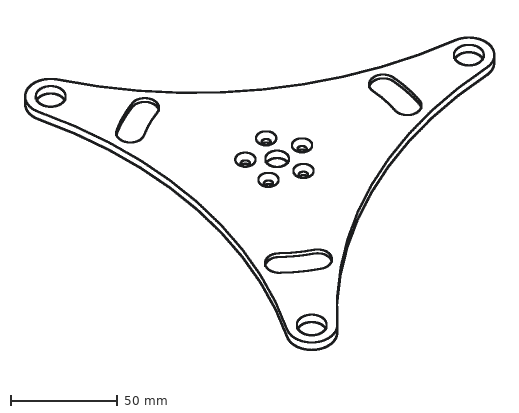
import cadquery as cq
import math

thickness = 5.0
lug_distance = 115.0
lug_radius = 12.0
lug_hole_diameter = 14.0
lug_angles = [90, 210, 330]
waist_distance = 48.0

pocket_distance = 71.5
pocket_width = 13.4
pocket_length = 31.7
pocket_depth = 2.5

center_hole_diameter = 11.2
screw_count = 5
screw_circle_radius = 15.0
screw_diameter = 4.5
countersink_diameter = 9.5
countersink_angle = 90

half_lug_span = lug_distance * math.sin(math.radians(60))
lug_drop = lug_distance * math.cos(math.radians(60))
touch_offset = waist_distance - lug_radius
side_center_distance = (half_lug_span**2 + lug_drop**2 - touch_offset**2) / (2 * (lug_drop - touch_offset))
side_radius = side_center_distance - waist_distance
touch_angle = math.degrees(math.asin(half_lug_span / (side_radius + lug_radius)))


def polar(radius, angle):
    """Point at a distance and angle in degrees from the plate centre."""
    turn = math.radians(angle)
    return (radius * math.cos(turn), radius * math.sin(turn))


def plate():
    """Three rounded lugs joined by tangent concave sides."""
    side_half_chord = side_radius * math.sin(math.radians(touch_angle))
    side_end_distance = side_center_distance - side_radius * math.cos(math.radians(touch_angle))
    end_radius = math.hypot(side_half_chord, side_end_distance)
    end_turn = math.degrees(math.atan2(side_half_chord, side_end_distance))

    outline = cq.Workplane("XY").moveTo(*polar(end_radius, lug_angles[0] - 60 + end_turn))
    for angle in lug_angles:
        next_side = angle + 60
        outline = outline.threePointArc(
            polar(lug_distance + lug_radius, angle), polar(end_radius, next_side - end_turn)
        )
        outline = outline.threePointArc(
            polar(waist_distance, next_side), polar(end_radius, next_side + end_turn)
        )
    return outline.close().extrude(thickness)


def pocket(angle):
    """Round-ended curved cutter centred on one lug direction."""
    end_radius = pocket_width / 2
    half_turn = math.degrees(math.asin((pocket_length / 2 - end_radius) / pocket_distance))
    inner = pocket_distance - end_radius
    outer = pocket_distance + end_radius
    start = angle - half_turn
    end = angle + half_turn
    tip_turn = math.degrees(math.atan(end_radius / pocket_distance))
    tip_distance = math.hypot(pocket_distance, end_radius)
    return (
        cq.Workplane("XY", origin=(0, 0, thickness - pocket_depth))
        .moveTo(*polar(outer, start))
        .threePointArc(polar(outer, angle), polar(outer, end))
        .threePointArc(polar(tip_distance, end + tip_turn), polar(inner, end))
        .threePointArc(polar(inner, angle), polar(inner, start))
        .threePointArc(polar(tip_distance, start - tip_turn), polar(outer, start))
        .close()
        .extrude(pocket_depth)
    )


result = plate()

for lug_angle in lug_angles:
    result = result.cut(pocket(lug_angle))

top_plane = cq.Workplane("XY", origin=(0, 0, thickness))
lug_centers = [polar(lug_distance, angle) for angle in lug_angles]
lug_holes = top_plane.pushPoints(lug_centers).circle(lug_hole_diameter / 2).extrude(-thickness)
center_hole = top_plane.circle(center_hole_diameter / 2).extrude(-thickness)
result = result.cut(lug_holes).cut(center_hole)

result = (
    result.copyWorkplane(top_plane)
    .polarArray(screw_circle_radius, 90, 360, screw_count)
    .cskHole(screw_diameter, countersink_diameter, countersink_angle)
)